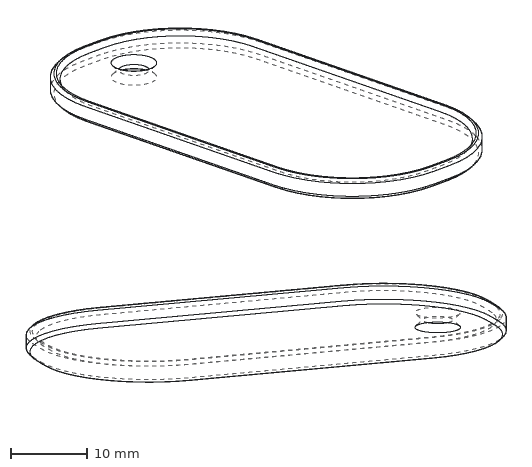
import cadquery as cq
import math

LENGTH = 64.5
WIDTH = 33.0
THICKNESS = 2.8
CORNER_RADIUS = 15.0
EDGE_CHAMFER = 0.5

RIM_FLAT = 0.3
RECESS_DEPTH = 0.8
RECESS_WALL_RUN = 0.5
FLOOR_HEIGHT = THICKNESS - RECESS_DEPTH

HOLE_DIAMETER = 4.0
COUNTERSINK_DIAMETER = 6.0
COUNTERSINK_DEPTH = FLOOR_HEIGHT / 2
HOLE_EDGE_DISTANCE = 8.0


def rounded_plate(inset, bottom, height):
    """Plate whose outline lies a constant distance inside the tag outline."""
    return (
        cq.Workplane("XY")
        .workplane(offset=bottom)
        .rect(LENGTH - 2 * inset, WIDTH - 2 * inset)
        .extrude(height)
        .edges("|Z")
        .fillet(CORNER_RADIUS - inset)
    )


def tag_body():
    """Rounded plate with chamfered top and bottom edges."""
    return rounded_plate(0, 0, THICKNESS).faces("<Z or >Z").chamfer(EDGE_CHAMFER)


def recess_cutter():
    """Shallow pocket that narrows toward its floor, leaving a raised rim."""
    rim_inset = EDGE_CHAMFER + RIM_FLAT
    wall_angle = math.degrees(math.atan2(RECESS_WALL_RUN, RECESS_DEPTH))
    return (
        rounded_plate(rim_inset, FLOOR_HEIGHT, RECESS_DEPTH)
        .faces(">Z")
        .wires()
        .toPending()
        .workplane()
        .extrude(-RECESS_DEPTH, taper=wall_angle, combine=False)
    )


def hole_cutter():
    """Hourglass through hole: two cones meeting at the narrow waist."""
    waist_radius = HOLE_DIAMETER / 2
    mouth_radius = COUNTERSINK_DIAMETER / 2
    hole_x = HOLE_EDGE_DISTANCE - LENGTH / 2
    half_profile = [
        (0, 0),
        (mouth_radius, 0),
        (waist_radius, COUNTERSINK_DEPTH),
        (mouth_radius, FLOOR_HEIGHT),
        (0, FLOOR_HEIGHT),
    ]
    return (
        cq.Workplane("XZ")
        .polyline(half_profile)
        .close()
        .revolve(360, (0, 0, 0), (0, 1, 0))
        .translate((hole_x, 0, 0))
    )


result = tag_body().cut(recess_cutter()).cut(hole_cutter())